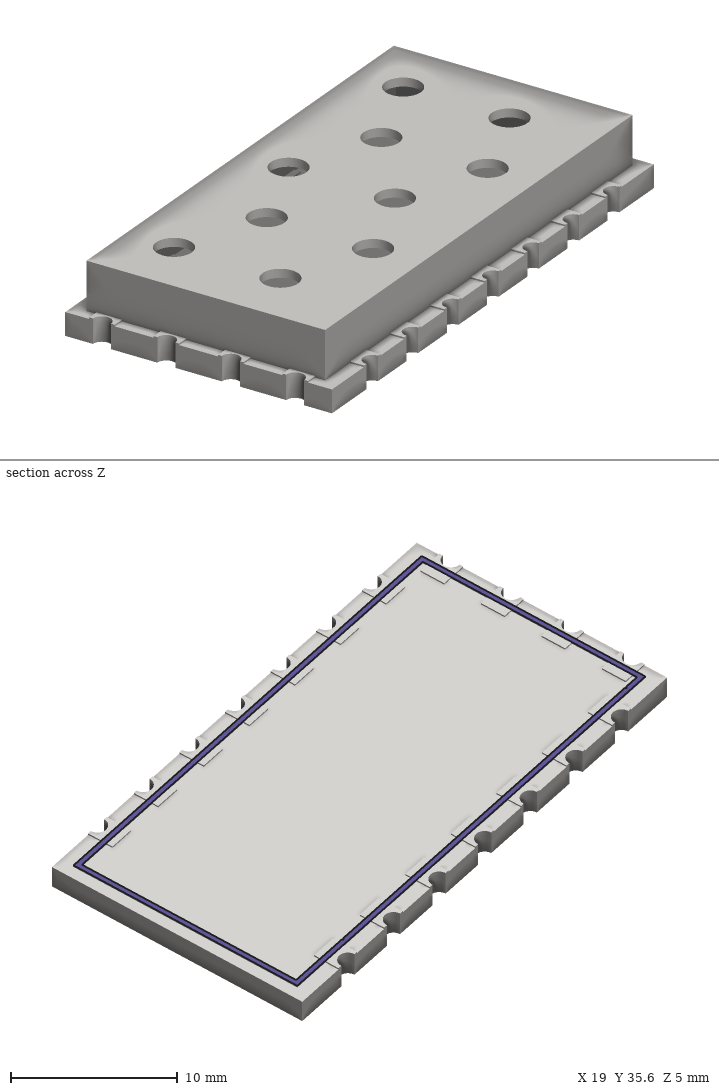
import cadquery as cq

BOARD_WIDTH = 19.0
BOARD_LENGTH = 35.6
BOARD_THICKNESS = 1.6

PAD_THICKNESS = 0.1
PAD_TOP = BOARD_THICKNESS + PAD_THICKNESS
PAD_WIDTH = 1.8
PAD_REACH = 1.85
NOTCH_RADIUS = 0.65
SIDE_PAD_COUNT = 7
SIDE_PAD_PITCH = BOARD_LENGTH / (SIDE_PAD_COUNT + 1)
FRONT_PAD_COUNT = 4
FRONT_PAD_PITCH = 4.6

COVER_WIDTH = 17.0
COVER_LENGTH = 34.0
COVER_TOP = 5.0
COVER_WALL = 0.4
COVER_ROOF = 0.6

VENT_DIAMETER = 2.53
VENT_ROWS = 5
VENT_COLUMNS = 2
VENT_ROW_PITCH = 6.35
VENT_COLUMN_PITCH = 7.6
VENT_STAGGER = VENT_COLUMN_PITCH / 6


def centred_positions(count, pitch):
    """Evenly spaced positions, centred on zero."""
    return [(index - (count - 1) / 2) * pitch for index in range(count)]


def block(width, length, bottom, top):
    """Box centred on the Z axis between two heights."""
    return (
        cq.Workplane("XY")
        .workplane(offset=bottom)
        .rect(width, length)
        .extrude(top - bottom)
    )


def pad_sites():
    """Edge centre and footprint of each pad; half of the footprint lies beyond the edge."""
    sites = []
    full_reach = 2 * PAD_REACH
    for y in centred_positions(SIDE_PAD_COUNT, SIDE_PAD_PITCH):
        for side in (-1, 1):
            sites.append((side * BOARD_WIDTH / 2, y, full_reach, PAD_WIDTH))
    for x in centred_positions(FRONT_PAD_COUNT, FRONT_PAD_PITCH):
        sites.append((x, -BOARD_LENGTH / 2, PAD_WIDTH, full_reach))
    return sites


def make_board():
    """Board with raised pads, notched through at every pad."""
    pads = cq.Workplane("XY")
    notches = cq.Workplane("XY")
    for x, y, width, length in pad_sites():
        pads = pads.add(block(width, length, 0, PAD_TOP).translate((x, y, 0)))
        notch = cq.Workplane("XY").center(x, y).circle(NOTCH_RADIUS).extrude(PAD_TOP)
        notches = notches.add(notch)
    outline = block(BOARD_WIDTH, BOARD_LENGTH, 0, PAD_TOP)
    pads = pads.combine().intersect(outline)
    board = block(BOARD_WIDTH, BOARD_LENGTH, 0, BOARD_THICKNESS).union(pads)
    return board.cut(notches.combine())


def make_cover():
    """Hollow cover with staggered round holes through its roof."""
    cover = block(COVER_WIDTH, COVER_LENGTH, BOARD_THICKNESS, COVER_TOP)
    roof_underside = COVER_TOP - COVER_ROOF
    cavity = block(
        COVER_WIDTH - 2 * COVER_WALL,
        COVER_LENGTH - 2 * COVER_WALL,
        BOARD_THICKNESS,
        roof_underside,
    )
    vent_points = []
    for row, y in enumerate(centred_positions(VENT_ROWS, VENT_ROW_PITCH)):
        shift = VENT_STAGGER if row % 2 else -VENT_STAGGER
        for x in centred_positions(VENT_COLUMNS, VENT_COLUMN_PITCH):
            vent_points.append((x + shift, y))
    vents = (
        cq.Workplane("XY")
        .workplane(offset=roof_underside)
        .pushPoints(vent_points)
        .circle(VENT_DIAMETER / 2)
        .extrude(COVER_ROOF)
    )
    return cover.cut(cavity).cut(vents)


result = make_board().union(make_cover())